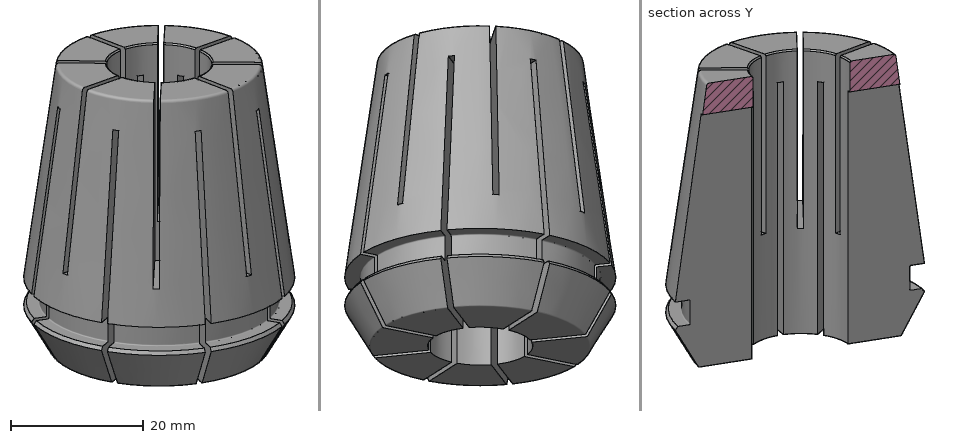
import cadquery as cq

height = 46.0
max_diameter = 41.0
max_radius = max_diameter / 2
bore_diameter = 15.85
bore_chamfer = 0.25

bottom_radius = 16.65
bottom_round = 0.28
rim_height = 6.6
rim_bevel_rise = 0.55
rim_bevel_inset = 0.4

neck_radius = 18.1
neck_bottom = rim_height + rim_bevel_rise
neck_top = 11.15
neck_corner_round = 0.2

top_radius = 15.55
top_round = 0.5

slot_width = 0.95
slots_per_end = 8
slot_pitch = 360 / slots_per_end
lower_slot_top = 40.95
upper_slot_bottom = 17.0


def make_outer_body():
    """Revolve the outer profile and round its end edges and neck corners."""
    profile = [
        (0, 0),
        (bottom_radius, 0),
        (max_radius, rim_height),
        (max_radius - rim_bevel_inset, neck_bottom),
        (neck_radius, neck_bottom),
        (neck_radius, neck_top),
        (max_radius, neck_top),
        (top_radius, height),
        (0, height),
    ]
    body = cq.Workplane("XZ").polyline(profile).close().revolve(360, (0, 0), (0, 1))
    body = body.faces(">Z").edges().fillet(top_round)
    body = body.faces("<Z").edges().fillet(bottom_round)

    groove_zone = cq.selectors.BoxSelector(
        (-max_radius, -max_radius, rim_height),
        (max_radius, max_radius, neck_top + neck_corner_round),
    )
    smallest_radius = cq.selectors.RadiusNthSelector(0)
    return body.edges(groove_zone).edges(smallest_radius).fillet(neck_corner_round)


def drill_bore(body):
    """Bore right through along Z, with a small chamfer at the top mouth."""
    bored = body.faces(">Z").workplane().hole(bore_diameter)
    bore_mouth = cq.selectors.RadiusNthSelector(0)
    return bored.faces(">Z").edges(bore_mouth).chamfer(bore_chamfer)


def make_slots(bottom, top, first_angle):
    """Ring of radial slots running from the axis out past the body."""
    slots = cq.Workplane("XY")
    for index in range(slots_per_end):
        slot = (
            cq.Workplane("XY", origin=(0, 0, bottom))
            .center(max_radius, 0)
            .rect(2 * max_radius, slot_width)
            .extrude(top - bottom)
            .rotate((0, 0, 0), (0, 0, 1), first_angle + index * slot_pitch)
        )
        slots = slots.add(slot)
    return slots.combine()


lower_slots = make_slots(0, lower_slot_top, 0)
upper_slots = make_slots(upper_slot_bottom, height, slot_pitch / 2)
result = drill_bore(make_outer_body()).cut(lower_slots).cut(upper_slots)